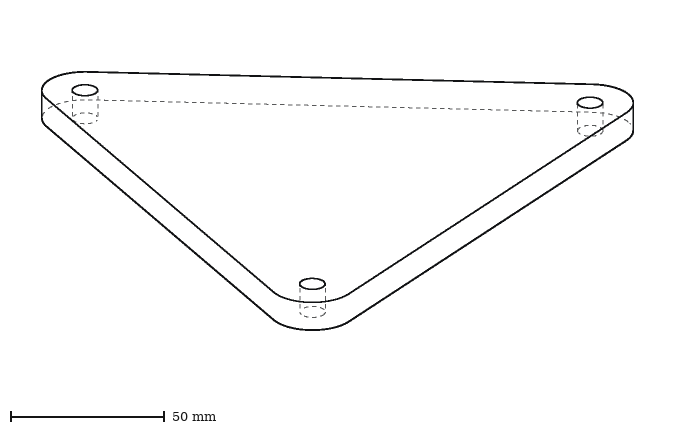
import cadquery as cq
import math

overall_width = 192.5
corner_radius = 14.0
thickness = 10.0
hole_diameter = 8.3

hole_spacing = overall_width - 2 * corner_radius
centre_to_hole = hole_spacing / math.sqrt(3)
hole_angles = [90, 210, 330]


def point_at(radius, angle):
    """Point at a polar position about the plate centre, angle in degrees."""
    return (radius * math.cos(math.radians(angle)), radius * math.sin(math.radians(angle)))


hole_centres = [point_at(centre_to_hole, angle) for angle in hole_angles]

plate = (
    cq.Workplane("XY")
    .polyline(hole_centres)
    .close()
    .offset2D(corner_radius, "arc")
    .extrude(thickness)
)

holes = (
    cq.Workplane("XY")
    .pushPoints(hole_centres)
    .circle(hole_diameter / 2)
    .extrude(thickness)
)

result = plate.cut(holes)